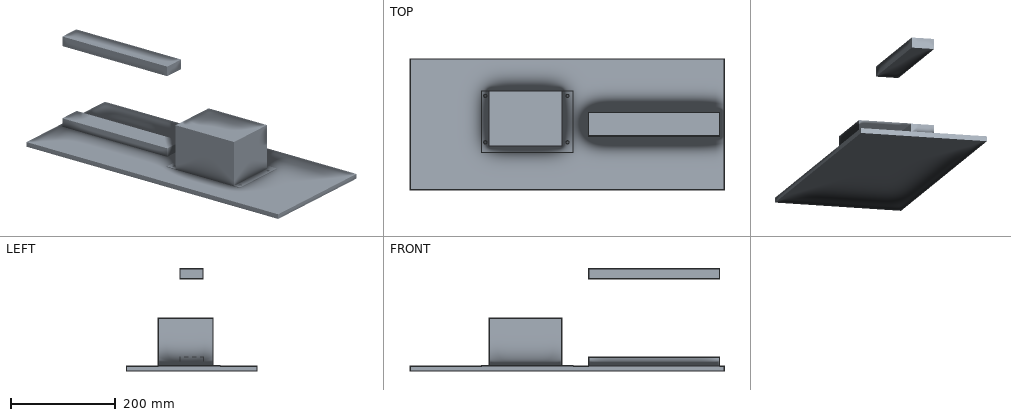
import cadquery as cq

base_length = 600.0
base_width = 250.0
base_thickness = 9.5

plate_left = -164.0
plate_back = 64.0
plate_length = 175.0
plate_width = 118.0
plate_thickness = 1.0

hole_diameter = 6.0
hole_spacing_x = 157.0
hole_spacing_y = 89.0
hole_left_inset = 7.0
hole_back_inset = 9.5

box_left_inset = 14.5
box_length = 139.0
box_width = 105.0
box_top = 101.5

bar_left = 41.0
bar_length = 250.0
bar_back = 23.0
lower_bar_width = 45.5
lower_bar_height = 17.5
upper_bar_width = 44.5
upper_bar_height = 20.0
overall_height = 196.0

plate_top = base_thickness + plate_thickness
box_left = plate_left + box_left_inset
box_height = box_top - plate_top
upper_bar_bottom = overall_height - upper_bar_height


def block(left, back, bottom, length, width, height):
    """Rectangular block placed by its left, back and bottom faces."""
    front = back - width
    return cq.Workplane("XY").box(length, width, height, centered=False).translate((left, front, bottom))


def make_base():
    return block(-base_length / 2, base_width / 2, 0, base_length, base_width, base_thickness)


def make_plate():
    plate = block(plate_left, plate_back, base_thickness, plate_length, plate_width, plate_thickness)
    hole_center_x = plate_left + hole_left_inset + hole_spacing_x / 2
    hole_center_y = plate_back - hole_back_inset - hole_spacing_y / 2
    holes = (
        cq.Workplane("XY", origin=(hole_center_x, hole_center_y, base_thickness))
        .rarray(hole_spacing_x, hole_spacing_y, 2, 2)
        .circle(hole_diameter / 2)
        .extrude(plate_thickness)
    )
    return plate.cut(holes).solids()


def make_box():
    return block(box_left, plate_back, plate_top, box_length, box_width, box_height)


def make_bar(bottom, width, height):
    return block(bar_left, bar_back, bottom, bar_length, width, height)


base = make_base()
mounting_plate = make_plate()
box = make_box()
lower_bar = make_bar(base_thickness, lower_bar_width, lower_bar_height)
upper_bar = make_bar(upper_bar_bottom, upper_bar_width, upper_bar_height)

result = cq.Compound.makeCompound(
    [base.val(), mounting_plate.val(), box.val(), lower_bar.val(), upper_bar.val()]
)